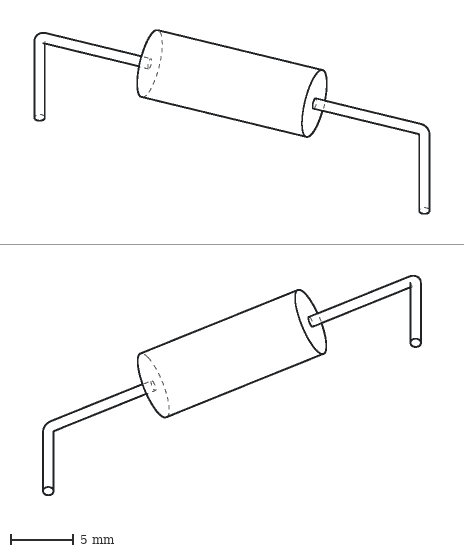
import cadquery as cq
import math

overall_span = 34.08
overall_height = 11.08
housing_diameter = 5.55
housing_length = 14.25
lead_diameter = 0.85
bend_radius = 0.45

housing_end_x = housing_length / 2
leg_x = overall_span / 2 - lead_diameter / 2
bend_start_x = leg_x - bend_radius
leg_tip_z = housing_diameter / 2 - overall_height


def make_housing():
    """Plain cylinder along X."""
    return (
        cq.Workplane("YZ", origin=(-housing_end_x, 0, 0))
        .circle(housing_diameter / 2)
        .extrude(housing_length)
    )


def make_lead(side):
    """Wire bent down from a housing end face; side is -1 for the -X end, +1 for +X."""
    bend_middle_x = bend_start_x + bend_radius * math.sin(math.radians(45))
    bend_middle_z = bend_radius * (math.cos(math.radians(45)) - 1)
    centreline = (
        cq.Workplane("XZ")
        .moveTo(side * housing_end_x, 0)
        .lineTo(side * bend_start_x, 0)
        .threePointArc((side * bend_middle_x, bend_middle_z), (side * leg_x, -bend_radius))
        .lineTo(side * leg_x, leg_tip_z)
    )
    return (
        cq.Workplane("YZ", origin=(side * housing_end_x, 0, 0))
        .circle(lead_diameter / 2)
        .sweep(centreline)
    )


housing = make_housing()
leads = [make_lead(side) for side in (-1, 1)]

result = cq.Compound.makeCompound([housing.val(), *[lead.val() for lead in leads]])